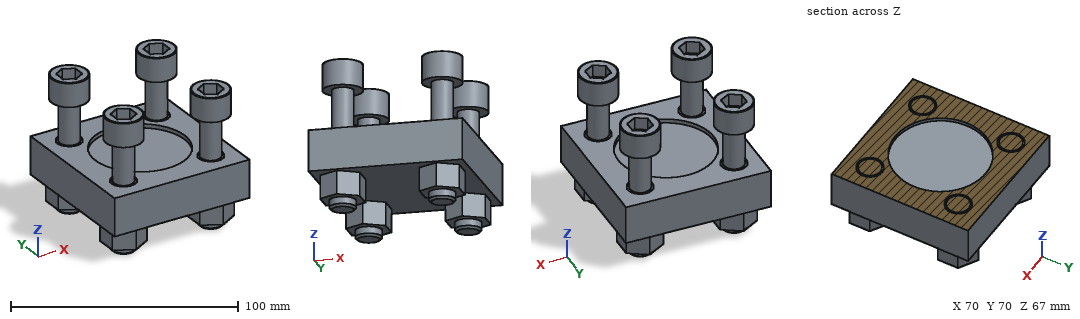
import cadquery as cq
import math

plate_side = 70.0
plate_thickness = 19.0
recess_diameter = 46.0
recess_depth = 2.0

bolt_circle_diameter = 64.0
bolt_spacing = bolt_circle_diameter / math.sqrt(2)

thread_diameter = 12.0
shank_diameter = 9.85
exposed_shank_length = 21.0
thread_chamfer = (thread_diameter - shank_diameter) / 2
head_diameter = 18.0
head_height = 12.0
head_chamfer_width = 0.5
head_chamfer_height = 0.25
socket_width = 10.0
socket_depth = 6.0

nut_width = 18.0
nut_height = 10.8
thread_protrusion = 4.2

thread_top = plate_thickness
head_bottom = plate_thickness + exposed_shank_length
head_top = head_bottom + head_height
nut_bottom = -nut_height
screw_tip = nut_bottom - thread_protrusion


def cylinder(diameter, bottom, top):
    """Upright cylinder on the Z axis."""
    return cq.Workplane("XY").workplane(offset=bottom).circle(diameter / 2).extrude(top - bottom)


def hexagonal_prism(width, bottom, top):
    """Upright hexagonal prism with two corners along Y and flats facing X."""
    corner_diameter = width / math.cos(math.pi / 6)
    hexagon = cq.Workplane("XY").workplane(offset=bottom).polygon(6, corner_diameter)
    return hexagon.extrude(top - bottom).rotate((0, 0, 0), (0, 0, 1), 90)


def make_plate():
    """Square plate with a round recess and screw holes that the threads fill."""
    plate = cq.Workplane("XY").rect(plate_side, plate_side).extrude(plate_thickness)
    plate = plate.cut(cylinder(recess_diameter, plate_thickness - recess_depth, plate_thickness))
    holes = cq.Workplane("XY").rect(bolt_spacing, bolt_spacing, forConstruction=True).vertices()
    return plate.cut(holes.circle(thread_diameter / 2).extrude(plate_thickness))


def make_screw_with_nut():
    """Socket head screw and its nut, on the Z axis."""
    thread = cylinder(thread_diameter, screw_tip, thread_top).faces("<Z or >Z").chamfer(thread_chamfer)
    shank = cylinder(shank_diameter, thread_top, head_bottom)
    head = cylinder(head_diameter, head_bottom, head_top)
    head = head.faces(">Z").chamfer(head_chamfer_height, head_chamfer_width)
    head = head.cut(hexagonal_prism(socket_width, head_top - socket_depth, head_top))
    nut = hexagonal_prism(nut_width, nut_bottom, 0)
    return thread.union(shank).union(head).union(nut)


screw_with_nut = make_screw_with_nut()
result = make_plate()
for x_side in (-1, 1):
    for y_side in (-1, 1):
        position = (x_side * bolt_spacing / 2, y_side * bolt_spacing / 2, 0)
        result = result.union(screw_with_nut.translate(position))